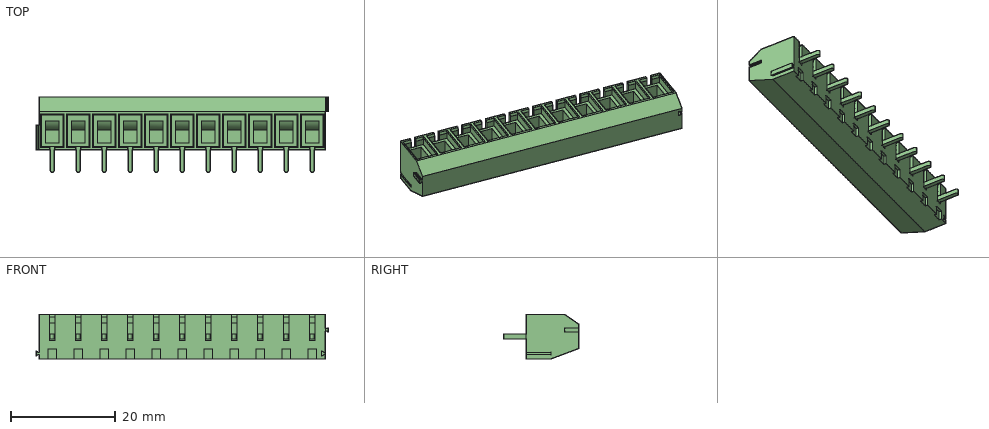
import cadquery as cq
import math


total_length = 56.2
ridge_height = 0.6
body_length = total_length - 2 * ridge_height
pole_count = 11
pitch = body_length / pole_count
body_depth = 10.2
body_height = 8.6

rear_top_run = 2.75
rear_top_drop = 1.9
rear_bottom_run = 5.4
rear_bottom_rise = 2.0

pocket_width = 4.45
pocket_depth = 1.7
rim_wall = 0.5
rim_taper = 0.18
end_taper_depth = 0.5
pocket_front = rim_wall
pocket_back = body_depth - rear_top_run - rim_wall
pocket_floor = body_height - pocket_depth

well_width = 2.6
well_front = 1.35
well_back = 5.5
shoulder_radius = 3.0
shoulder_start_angle = math.radians(26)

slot_width = 1.0
slot_floor = 3.55
slot_depth = rim_wall + rim_taper
pin_width = 0.8
pin_thickness = 1.0
pin_length = 4.3
pin_bottom = 3.8

notch_width = 1.7
notch_height = 1.95
notch_depth = 0.5

groove_depth = 0.75
neck_length = 0.2
upper_dovetail_z = 5.6
upper_neck_half = 0.255
upper_tip_half = 0.4
upper_tip_land = 0.15
upper_dovetail_length = rear_top_run
lower_dovetail_z = 1.05
lower_neck_half = 0.2
lower_tip_half = 0.5
lower_tip_land = 0
lower_dovetail_length = 4.8


def front_cut(x_center, width, depth, z_start, z_end):
    """Block that cuts into the front face, centred on one pole."""
    return (
        cq.Workplane("XY", origin=(x_center, 0, z_start))
        .box(width, depth, z_end - z_start, centered=(True, False, False))
    )


def make_body():
    """Side profile with sloped rear edges, extruded along X."""
    return (
        cq.Workplane("YZ")
        .moveTo(0, 0)
        .lineTo(body_depth - rear_bottom_run, 0)
        .lineTo(body_depth, rear_bottom_rise)
        .lineTo(body_depth, body_height - rear_top_drop)
        .lineTo(body_depth - rear_top_run, body_height)
        .lineTo(0, body_height)
        .close()
        .extrude(body_length)
    )


def tapered_sides(plane, start, end, taper, taper_depth):
    """Pocket cross-section: straight walls that flare out by `taper` at the top."""
    return (
        cq.Workplane(plane)
        .moveTo(start + taper, pocket_floor)
        .lineTo(end - taper, pocket_floor)
        .lineTo(end - taper, body_height - taper_depth)
        .lineTo(end, body_height)
        .lineTo(start, body_height)
        .lineTo(start + taper, body_height - taper_depth)
        .close()
    )


def make_pocket(x_center):
    """Rectangular pocket with a bevelled rim, steeper at the front and back."""
    left = x_center - pocket_width / 2
    right = x_center + pocket_width / 2
    across = tapered_sides("XZ", left, right, rim_taper, rim_taper).extrude(-body_depth)
    along = tapered_sides("YZ", pocket_front, pocket_back, rim_taper, end_taper_depth).extrude(body_length)
    return across.intersect(along)


def make_well(x_center):
    """Well whose rear edge rolls down over a convex arc that is vertical at the floor."""
    shoulder_center_y = well_back + shoulder_radius * math.sin(shoulder_start_angle)
    well_floor = pocket_floor - shoulder_radius * math.cos(shoulder_start_angle)
    mid_angle = (shoulder_start_angle + math.pi / 2) / 2
    arc_middle = (
        shoulder_center_y - shoulder_radius * math.sin(mid_angle),
        well_floor + shoulder_radius * math.cos(mid_angle),
    )
    return (
        cq.Workplane("YZ", origin=(x_center - well_width / 2, 0, 0))
        .moveTo(well_front, pocket_floor)
        .lineTo(well_front, well_floor)
        .lineTo(shoulder_center_y - shoulder_radius, well_floor)
        .threePointArc(arc_middle, (well_back, pocket_floor))
        .close()
        .extrude(well_width)
    )


def make_pin(x_center):
    """Flat pin from the back of the slot, with a half-round tip."""
    tip_radius = pin_width / 2
    shoulder_y = tip_radius - pin_length
    return (
        cq.Workplane("XY", origin=(x_center, 0, pin_bottom))
        .moveTo(tip_radius, slot_depth)
        .lineTo(-tip_radius, slot_depth)
        .lineTo(-tip_radius, shoulder_y)
        .threePointArc((0, -pin_length), (tip_radius, shoulder_y))
        .close()
        .extrude(pin_thickness)
    )


def make_dovetail(base_x, side, reach, tip_land, z_center, neck_half, tip_half, y_start, length):
    """Dovetail bar along Y that stands out from base_x; side is +1 towards +X and -1 towards -X.

    A straight neck flares out to the tip, which ends with a straight land of length tip_land.
    """
    neck_end_x = base_x + side * neck_length
    flare_end_x = base_x + side * (reach - tip_land)
    tip_x = base_x + side * reach
    upper_edge = [
        (base_x, neck_half),
        (neck_end_x, neck_half),
        (flare_end_x, tip_half),
    ]
    if tip_land > 0:
        upper_edge.append((tip_x, tip_half))
    lower_edge = [(x, -z) for x, z in reversed(upper_edge)]
    return (
        cq.Workplane("XZ", origin=(0, y_start, z_center))
        .polyline(upper_edge + lower_edge)
        .close()
        .extrude(-length)
    )


def upper_dovetail(base_x, side, reach):
    """Dovetail at the rear of an end face."""
    y_start = body_depth - upper_dovetail_length
    return make_dovetail(
        base_x, side, reach, upper_tip_land, upper_dovetail_z,
        upper_neck_half, upper_tip_half, y_start, upper_dovetail_length,
    )


def lower_dovetail(base_x, side, reach):
    """Dovetail at the lower front of an end face."""
    return make_dovetail(
        base_x, side, reach, lower_tip_land, lower_dovetail_z,
        lower_neck_half, lower_tip_half, 0, lower_dovetail_length,
    )


result = make_body()

result = result.cut(upper_dovetail(0, 1, groove_depth))
result = result.cut(lower_dovetail(body_length, -1, groove_depth))
result = result.union(upper_dovetail(body_length, 1, ridge_height))
result = result.union(lower_dovetail(0, -1, ridge_height))

for pole in range(pole_count):
    x_center = (pole + 0.5) * pitch
    result = result.cut(make_pocket(x_center))
    result = result.cut(make_well(x_center))
    result = result.cut(front_cut(x_center, slot_width, slot_depth, slot_floor, body_height))
    result = result.cut(front_cut(x_center, notch_width, notch_depth, 0, notch_height))
    result = result.union(make_pin(x_center))